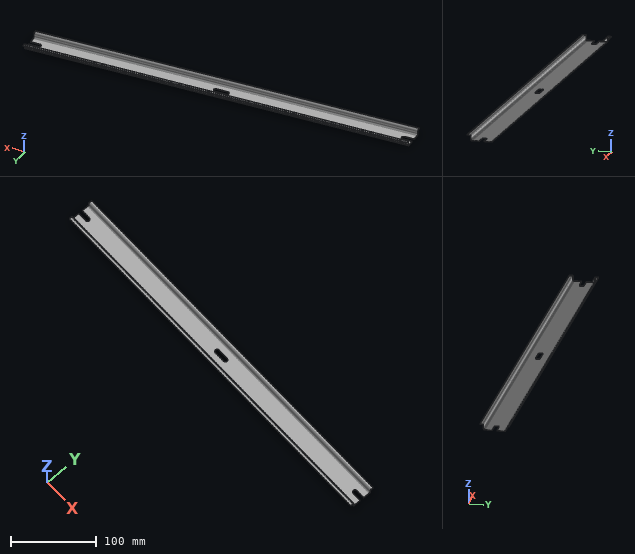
import cadquery as cq

rail_length = 495.0
rail_width = 35.0
rail_height = 7.5
channel_width = 27.0
sheet_thickness = 1.0
inner_bend_radius = 0.8
outer_bend_radius = inner_bend_radius + sheet_thickness

slot_width = 5.5
center_slot_length = 20.0
end_slot_depth = 15.0


def make_rail():
    """Bent sheet section, centred on X and Y with the web on Z = 0."""
    half_width = rail_width / 2
    wall_outside = channel_width / 2
    wall_inside = wall_outside - sheet_thickness
    flange_underside = rail_height - sheet_thickness

    half_section = (
        cq.Workplane("YZ")
        .polyline(
            [
                (0, 0),
                (wall_outside, 0),
                (wall_outside, flange_underside),
                (half_width, flange_underside),
                (half_width, rail_height),
                (wall_inside, rail_height),
                (wall_inside, sheet_thickness),
                (0, sheet_thickness),
            ]
        )
        .close()
        .extrude(rail_length / 2, both=True)
    )
    rail = half_section.union(half_section.mirror("XZ")).clean()

    inner_bends = [(wall_inside, sheet_thickness), (wall_outside, flange_underside)]
    outer_bends = [(wall_outside, 0), (wall_inside, rail_height)]
    for bends, radius in ((inner_bends, inner_bend_radius), (outer_bends, outer_bend_radius)):
        for y, z in bends:
            for side in (-1, 1):
                rail = rail.edges(cq.selectors.NearestToPointSelector((0, side * y, z))).fillet(radius)
    return rail


def make_slot(center_x, length):
    """Round-ended cutter through the web, lying along X."""
    return cq.Workplane("XY").center(center_x, 0).slot2D(length, slot_width).extrude(sheet_thickness)


result = make_rail().cut(make_slot(0, center_slot_length))
for rail_end in (-rail_length / 2, rail_length / 2):
    result = result.cut(make_slot(rail_end, 2 * end_slot_depth))